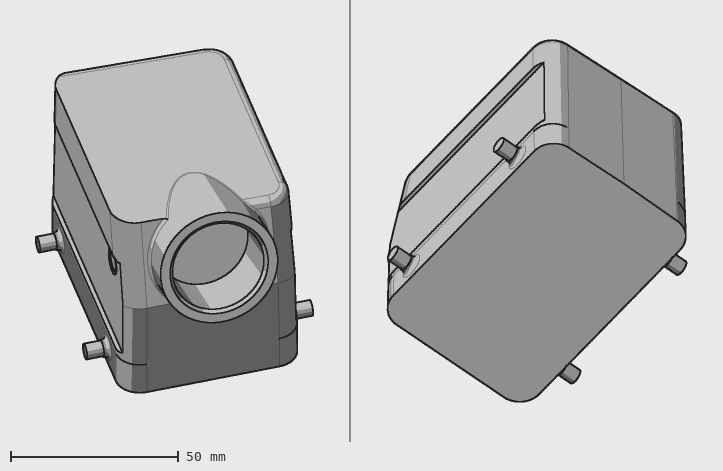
import cadquery as cq
import math

half_length = 41.0
half_width = 28.05
skirt_height = 10.9
top_half_length = 39.5
top_half_width = 27.5
top_height_front = 60.6
top_height_back = 59.6
left_wall_bow = 0.5
corner_radius = 7.5
top_fillet = 3.0

slant_angle = 15.0
slant_start_z = 32.8

panel_bottom = 13.9
panel_top = 45.75
panel_bottom_half_width = 26.9
panel_top_half_width = 26.6
panel_bottom_slope = 1.0
panel_top_slope = 0.4

ring_z = 40.1
ring_outer_diameter = 8.0
ring_inner_diameter = 6.0
ring_step = 0.2

entry_diameter = 36.25
entry_right = 52.2
entry_top = 67.6
entry_length = 37.3
entry_root_fillet = 0.9
bore_diameter = 28.3
bore_chamfer = 1.0
bore_depth = 18.6

pin_x = 25.1
pin_z = 6.2
pin_diameter = 4.8
pin_span = 70.2
collar_diameter = 5.3
collar_end_y = 29.9
flare_diameter = 8.0

left_wall_turn = left_wall_bow / half_width
end_wall_lean = (half_length - top_half_length) / top_height_front
skirt_half_length = half_length - end_wall_lean * skirt_height
slant_start_x = half_length - end_wall_lean * slant_start_z

base_level = (0, half_length, half_width)
skirt_level = (skirt_height, skirt_half_length, half_width)
top_level = (top_height_front, top_half_length, top_half_width)

pin_tip_y = pin_span / 2

reach = 93.2
slant_tan = math.tan(math.radians(slant_angle))
slant_cos = math.cos(math.radians(slant_angle))
slant_sin = math.sin(math.radians(slant_angle))
entry_axis = cq.Vector(slant_cos, 0, slant_sin)


def bowed_plan(length, width):
    """Outline seen from above, the left wall made of two faces that meet at Y = 0."""
    return [
        (-length, 0),
        (left_wall_turn * width - length, -width),
        (length, -width),
        (length, width),
        (left_wall_turn * width - length, width),
    ]


def skewed_plan(length, width):
    """The same outline with the +Y half of the left wall carried straight on to -Y."""
    return [
        (-left_wall_turn * width - length, -width),
        (length, -width),
        (length, width),
        (left_wall_turn * width - length, width),
    ]


def wall_block(plan, bottom, top):
    """Flat-walled block between two levels, each given as (height, half length, half width)."""
    lower, upper = (
        [cq.Vector(x, y, height) for x, y in plan(length, width)]
        for height, length, width in (bottom, top)
    )
    outlines = [lower, upper]
    for i in range(len(lower)):
        outlines.append([lower[i - 1], lower[i], upper[i], upper[i - 1]])
    faces = [cq.Face.makeFromWires(cq.Wire.makePolygon(points, close=True)) for points in outlines]
    return cq.Workplane(cq.Solid.makeSolid(cq.Shell.makeShell(faces)))


def round_corners(block, sides=(-1, 1)):
    """Round the upright edges on the given sides, -1 for -Y and +1 for +Y."""
    box = block.val().BoundingBox()
    margin = 0.9
    for side in sides:
        upright_edges = cq.selectors.BoxSelector(
            (-half_length, side * top_half_width / 2, box.zmin + margin),
            (half_length, side * reach, box.zmax - margin),
        )
        block = block.edges(upright_edges).fillet(corner_radius)
    return block


def slant_limit(rounded_sides):
    """Blank with the drafted side walls that ends at the slanted wall.

    Its corners beside the slanted wall are rounded on the given sides.
    """
    slant_top_x = slant_start_x - (top_height_front - slant_start_z) * slant_tan
    slant_low_x = slant_start_x + (slant_start_z - skirt_height) * slant_tan
    sides = (
        cq.Workplane("YZ")
        .polyline([
            (-half_width, skirt_height),
            (half_width, skirt_height),
            (top_half_width, top_height_front),
            (-top_half_width, top_height_front),
        ])
        .close()
        .extrude(reach, both=True)
    )
    outline = (
        cq.Workplane("XZ")
        .polyline([
            (-reach, skirt_height),
            (slant_low_x, skirt_height),
            (slant_top_x, top_height_front),
            (-reach, top_height_front),
        ])
        .close()
        .extrude(reach, both=True)
    )
    blank = sides.intersect(outline)
    return round_corners(blank, rounded_sides)


def top_limit():
    """Blank below the gently tilted top face."""
    return (
        cq.Workplane("YZ")
        .polyline([
            (-top_half_width, top_height_front),
            (top_half_width, top_height_back),
            (reach, top_height_back),
            (reach, 0),
            (-reach, 0),
            (-reach, top_height_front),
        ])
        .close()
        .extrude(reach, both=True)
    )


def rounded_top_limit():
    """Blank whose top edges are rounded along the left, back and right walls."""
    back = (1,)
    block = round_corners(wall_block(skewed_plan, skirt_level, top_level), back)
    block = block.intersect(slant_limit(back)).intersect(top_limit())
    block = block.faces(">Z").edges("not <Y").fillet(top_fillet)
    sharp_quarter = cq.Workplane().box(reach, reach, reach, centered=(False, False, False))
    return block.union(sharp_quarter.translate((0, -reach, 0)))


def hood():
    """Closed hood without panels, cable entry or pins."""
    skirt = round_corners(wall_block(bowed_plan, base_level, skirt_level))
    upper = round_corners(wall_block(bowed_plan, skirt_level, top_level))
    upper = upper.intersect(slant_limit((-1, 1))).intersect(top_limit())
    return skirt.union(upper.intersect(rounded_top_limit()))


def entry_cylinder(diameter, length):
    """Cylinder on the cable entry axis, from the mouth into the hood."""
    radius = entry_diameter / 2
    mouth = cq.Vector(entry_right - radius * slant_sin, 0, entry_top - radius * slant_cos)
    return cq.Workplane(cq.Plane(mouth, (0, 1, 0), -entry_axis)).circle(diameter / 2).extrude(length)


def add_cable_entry(body):
    """Join the entry tube to the hood, blend its root and bore its chamfered mouth."""
    body = body.union(entry_cylinder(entry_diameter, entry_length))
    entry_face = max(body.faces("%CYLINDER").vals(), key=lambda face: face.BoundingBox().xmax)
    body = body.newObject([entry_face]).edges("not(>X or %LINE)").fillet(entry_root_fillet)
    body = body.cut(entry_cylinder(bore_diameter, bore_depth))
    mouth = body.faces(cq.selectors.DirectionMinMaxSelector(entry_axis))
    return mouth.edges("%CIRCLE").edges(cq.selectors.RadiusNthSelector(0)).chamfer(bore_chamfer)


def panel_cutter():
    """Material outside the -Y panel, along the whole length."""
    return (
        cq.Workplane("YZ")
        .polyline([
            (-half_width, panel_bottom - panel_bottom_slope),
            (-panel_bottom_half_width, panel_bottom),
            (-panel_top_half_width, panel_top),
            (-half_width, panel_top + panel_top_slope),
        ])
        .close()
        .extrude(reach, both=True)
    )


def ring_mark():
    """Two shallow round steps sunk into the drafted -Y panel."""
    lean = (panel_bottom_half_width - panel_top_half_width) / (panel_top - panel_bottom)
    panel_y = lean * (ring_z - panel_bottom) - panel_bottom_half_width
    face = cq.Plane((pin_x, panel_y, ring_z), (1, 0, 0), (0, -1, lean))
    outer = cq.Workplane(face).circle(ring_outer_diameter / 2).extrude(-ring_step)
    inner = cq.Workplane(face).circle(ring_inner_diameter / 2).extrude(-2 * ring_step)
    return outer.union(inner)


def locking_pin():
    """Pin towards +Y with a concave flare at its root and a short collar."""
    flare_radius = (flare_diameter - collar_diameter) / 2
    flare_end_y = half_width + flare_radius
    flare_dip = flare_radius * (1 - math.sqrt(0.5))
    return (
        cq.Workplane()
        .moveTo(0, half_width - flare_radius)
        .lineTo(flare_diameter / 2, half_width - flare_radius)
        .lineTo(flare_diameter / 2, half_width)
        .threePointArc(
            (collar_diameter / 2 + flare_dip, half_width + flare_dip),
            (collar_diameter / 2, flare_end_y),
        )
        .lineTo(collar_diameter / 2, collar_end_y)
        .lineTo(pin_diameter / 2, collar_end_y)
        .lineTo(pin_diameter / 2, pin_tip_y)
        .lineTo(0, pin_tip_y)
        .close()
        .revolve(360, (0, 0, 0), (0, 1, 0))
    )


panel = panel_cutter()
result = add_cable_entry(hood())
result = result.cut(panel).cut(panel.mirror("XZ")).cut(ring_mark())
for x in (-pin_x, pin_x):
    pin = locking_pin().translate((x, 0, pin_z))
    result = result.union(pin).union(pin.mirror("XZ"))